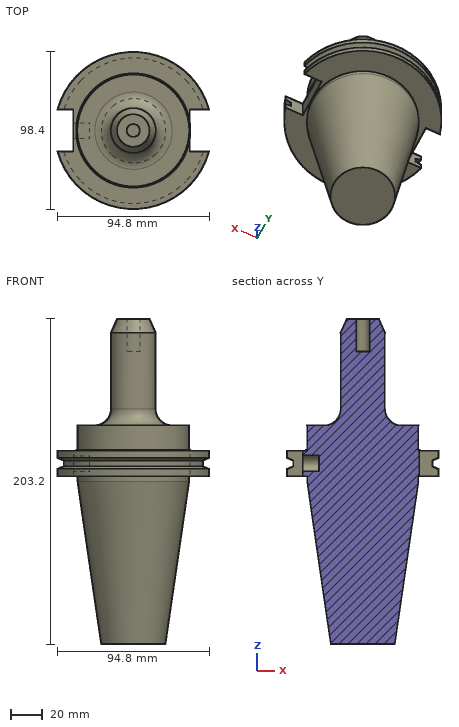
import cadquery as cq

total_height = 203.2
gauge_height = 101.5
flange_bottom = gauge_height + 3.3
flange_thickness = 16.0
flange_top = flange_bottom + flange_thickness
seat_top = flange_top + 0.5
collar_top = 136.8
tip_height = 8.5

gauge_radius = 35.0
taper_slope = 7 / 48
small_end_radius = gauge_radius - gauge_height * taper_slope
flange_radius = 49.2
seat_radius = 35.8
collar_radius = 35.0
shank_radius = 14.0
tip_radius = 10.2
shank_fillet = 10.2

groove_floor_radius = 45.5
groove_floor_width = 3.7
groove_flank_height = 1.6
groove_center = flange_bottom + flange_thickness / 2

slot_width = 26.2
slot_floor_left = 37.5
slot_floor_right = 35.4

tip_hole_radius = 4.0
tip_hole_depth = 20.3
side_hole_radius = 4.9
side_hole_depth = 10.2


def turned_body():
    """Taper, flange, collar and shank revolved about Z."""
    profile = (
        cq.Workplane("XZ")
        .lineTo(small_end_radius, 0)
        .lineTo(gauge_radius, gauge_height)
        .lineTo(gauge_radius, flange_bottom)
        .lineTo(flange_radius, flange_bottom)
        .lineTo(flange_radius, flange_top)
        .lineTo(seat_radius, flange_top)
        .lineTo(seat_radius, seat_top)
        .lineTo(collar_radius, seat_top)
        .lineTo(collar_radius, collar_top)
        .lineTo(shank_radius + shank_fillet, collar_top)
        .radiusArc((shank_radius, collar_top + shank_fillet), shank_fillet)
        .lineTo(shank_radius, total_height - tip_height)
        .lineTo(tip_radius, total_height)
        .lineTo(0, total_height)
        .close()
    )
    return profile.revolve(360, (0, 0, 0), (0, 1, 0))


def flange_groove():
    """Ring with sloped flanks that forms the V-groove."""
    half_floor = groove_floor_width / 2
    half_mouth = half_floor + groove_flank_height
    profile = cq.Workplane("XZ").polyline([
        (groove_floor_radius, groove_center - half_floor),
        (flange_radius, groove_center - half_mouth),
        (flange_radius, groove_center + half_mouth),
        (groove_floor_radius, groove_center + half_floor),
    ]).close()
    return profile.revolve(360, (0, 0, 0), (0, 1, 0))


def drive_slot(side, floor_distance):
    """Slot through the flange on the -X (side = -1) or +X (side = 1) side."""
    center_x = side * (floor_distance + flange_radius / 2)
    return (
        cq.Workplane("XY", origin=(center_x, 0, flange_bottom))
        .rect(flange_radius, slot_width)
        .extrude(flange_thickness)
    )


def tip_hole():
    """Blind hole down the axis from the tip of the shank."""
    return cq.Workplane("XY", origin=(0, 0, total_height)).circle(tip_hole_radius).extrude(-tip_hole_depth)


def side_hole():
    """Blind radial hole in the floor of the -X slot."""
    return (
        cq.Workplane("YZ", origin=(-slot_floor_left, 0, groove_center))
        .circle(side_hole_radius)
        .extrude(side_hole_depth)
    )


result = (
    turned_body()
    .cut(flange_groove())
    .cut(drive_slot(-1, slot_floor_left))
    .cut(drive_slot(1, slot_floor_right))
    .cut(tip_hole())
    .cut(side_hole())
)